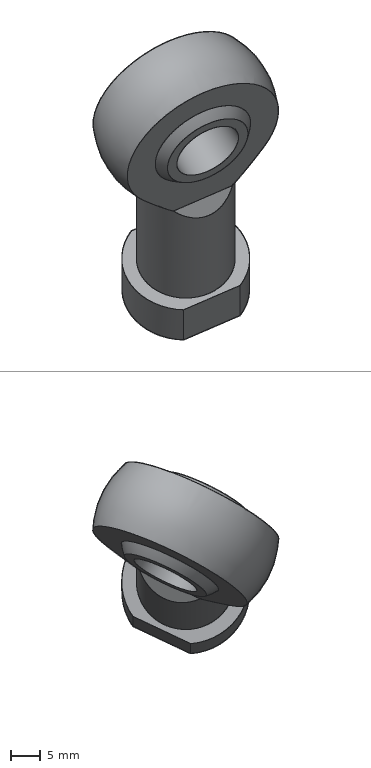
import cadquery as cq
import math

total_height = 65.85
head_radius = 16.0
head_width = 12.5
eye_height = total_height - head_radius

ball_radius = 11.2
ball_width = 16.0
bore_diameter = 12.0

shank_radius = 17.0 / 2
shank_top = 33.85
collar_diameter = 22.0
collar_height = 8.8
collar_across_flats = 19.0


def slab(width):
    """Block centred on the Z axis that limits a body to the given X width."""
    return cq.Workplane("XY").box(width, total_height, total_height, centered=(True, True, False))


def make_head():
    """Sphere running tangentially into a cone, cut to two flat faces."""
    neck_drop = eye_height - shank_top
    edge_angle = math.atan2(neck_drop, shank_radius)
    tangent_angle = edge_angle - math.acos(head_radius / math.hypot(shank_radius, neck_drop))
    tangent_point = (
        head_radius * math.cos(tangent_angle),
        eye_height - head_radius * math.sin(tangent_angle),
    )
    profile = (
        cq.Workplane("XZ")
        .moveTo(0, shank_top)
        .lineTo(shank_radius, shank_top)
        .lineTo(*tangent_point)
        .threePointArc((head_radius, eye_height), (0, total_height))
        .close()
    )
    return profile.revolve(360, (0, 0, 0), (0, 1, 0)).intersect(slab(head_width))


def make_shank():
    """Cylinder with a flat 45 degree bevel below each face of the head."""
    bevel = shank_radius - head_width / 2
    bevel_outline = (
        cq.Workplane("XZ")
        .moveTo(-shank_radius, 0)
        .lineTo(shank_radius, 0)
        .lineTo(shank_radius, shank_top - bevel)
        .lineTo(head_width / 2, shank_top)
        .lineTo(-head_width / 2, shank_top)
        .lineTo(-shank_radius, shank_top - bevel)
        .close()
        .extrude(shank_radius, both=True)
    )
    return cq.Workplane("XY").circle(shank_radius).extrude(shank_top).intersect(bevel_outline)


def make_collar():
    """Round collar with two wrench flats."""
    collar = cq.Workplane("XY").circle(collar_diameter / 2).extrude(collar_height)
    return collar.intersect(slab(collar_across_flats))


def make_ball():
    """Truncated ball, turned about X, that stands proud of both head faces."""
    half_width = ball_width / 2
    face_radius = math.sqrt(ball_radius**2 - half_width**2)
    profile = (
        cq.Workplane("XY")
        .moveTo(-half_width, 0)
        .lineTo(-half_width, face_radius)
        .threePointArc((0, ball_radius), (half_width, face_radius))
        .lineTo(half_width, 0)
        .close()
    )
    return profile.revolve(360, (0, 0, 0), (1, 0, 0)).translate((0, 0, eye_height))


def make_bore():
    """Through hole along X."""
    cutter = cq.Workplane("YZ").center(0, eye_height).circle(bore_diameter / 2)
    return cutter.extrude(ball_width, both=True)


result = make_collar().union(make_shank()).union(make_head()).union(make_ball()).cut(make_bore())